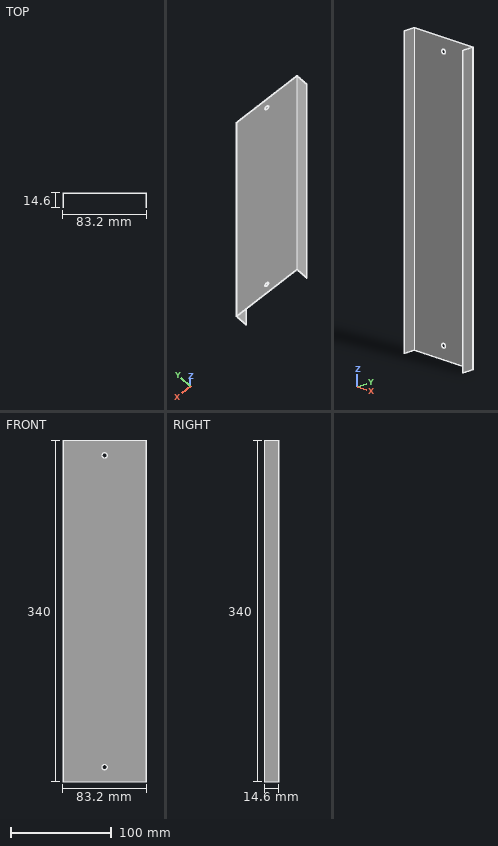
import cadquery as cq

SHEET_THICKNESS = 0.6
WIDTH = 83.2
DEPTH = 14.6
LENGTH = 340.0
HOLE_DIAMETER = 5.0
HOLE_END_DISTANCE = 15.0

INNER_WIDTH = WIDTH - 2 * SHEET_THICKNESS
INNER_DEPTH = DEPTH - SHEET_THICKNESS
HOLE_HEIGHT = LENGTH / 2 - HOLE_END_DISTANCE


def make_channel():
    """U-shaped sheet channel: web on the +Y side, flanges pointing to -Y."""
    outer = cq.Workplane("XY").box(WIDTH, DEPTH, LENGTH)
    inside = cq.Workplane("XY").box(INNER_WIDTH, INNER_DEPTH, LENGTH)
    return outer.cut(inside.translate((0, -SHEET_THICKNESS / 2, 0)))


def make_hole_cutters():
    """Two cylinders along Y, one near each end on the web's centreline."""
    return (
        cq.Workplane("XZ")
        .pushPoints([(0, HOLE_HEIGHT), (0, -HOLE_HEIGHT)])
        .circle(HOLE_DIAMETER / 2)
        .extrude(DEPTH, both=True)
    )


result = make_channel().cut(make_hole_cutters())